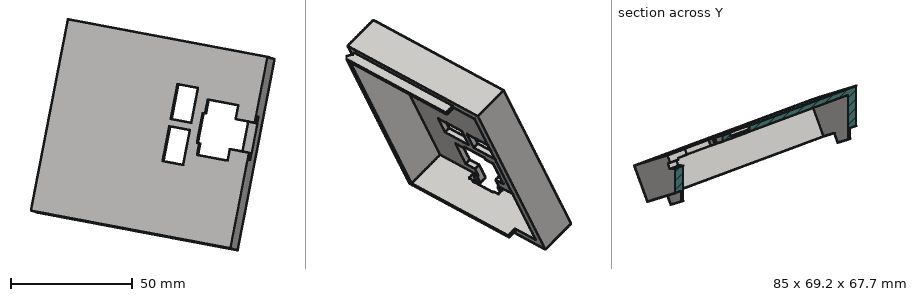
import cadquery as cq

TILTED = cq.Plane(origin=(0, 0, 0), xDir=(1, 0, 0), normal=(0, -1, 1))

WIDTH = 85.0
LENGTH = 80.0
DEPTH = 15.8
RIM_WALL = 4.0
FRONT_WALL = 2.55

LIP_INSET = 2.8
LIP_HEIGHT = 4.2
LIP_START = 16.75
LIP_BACK = DEPTH + LIP_HEIGHT

BEAD_GAP = 1.0
BEAD_PROJECTION = 1.8
BEAD_CREST = 0.3

PORT_LEFT = 50.15
PORT_WIDTH = 8.75
PORT_LENGTH = 14.5
PORT_BOTTOM = 30.0
PORT_PITCH = 17.6

WINDOW_LEFT = 63.8
WINDOW_WIDTH = 13.0
WINDOW_BOTTOM = 35.1
WINDOW_LENGTH = 23.1
SLOT_LEFT = 62.8
SLOT_BOTTOM = 39.95
SLOT_LENGTH = 12.5
SLOT_DEPTH = 6.0

UNDERCUT_REACH = 2.8
UNDERCUT_FRONT = 3.2
UNDERCUT_BACK = 5.6


def block(left, right, bottom, top, front, back):
    """Box in the cover frame; front and back are depths behind the front face."""
    size = (right - left, top - bottom, back - front)
    return cq.Workplane(TILTED).box(*size, centered=False).translate(
        TILTED.toWorldCoords((left, bottom, -back))
    )


def make_bead():
    section = cq.Workplane(TILTED).transformed(rotate=(0, 90, 0), offset=(LIP_INSET, 0, 0))
    base = LENGTH - LIP_INSET
    inner = LENGTH - RIM_WALL
    crest = base + BEAD_PROJECTION
    root = DEPTH + BEAD_GAP
    crest_front = root + BEAD_PROJECTION
    crest_back = crest_front + BEAD_CREST
    profile = [
        (root, base),
        (crest_front, crest),
        (crest_back, crest),
        (LIP_BACK, crest - (LIP_BACK - crest_back)),
        (LIP_BACK, inner),
        (root, inner),
    ]
    return section.polyline(profile).close().extrude(WIDTH - 2 * LIP_INSET)


def make_shell():
    body = block(0, WIDTH, 0, LENGTH, 0, DEPTH)
    lip = block(LIP_INSET, WIDTH - LIP_INSET, LIP_START, LENGTH - LIP_INSET, DEPTH, LIP_BACK)
    cavity = block(RIM_WALL, WIDTH - RIM_WALL, RIM_WALL, LENGTH - RIM_WALL, FRONT_WALL, LIP_BACK)
    return body.union(lip).union(make_bead()).cut(cavity)


def cut_openings(body):
    for row in range(2):
        bottom = PORT_BOTTOM + row * PORT_PITCH
        body = body.cut(
            block(PORT_LEFT, PORT_LEFT + PORT_WIDTH, bottom, bottom + PORT_LENGTH, 0, FRONT_WALL)
        )
    window = block(
        WINDOW_LEFT, WINDOW_LEFT + WINDOW_WIDTH, WINDOW_BOTTOM, WINDOW_BOTTOM + WINDOW_LENGTH, 0, FRONT_WALL
    )
    slot = block(SLOT_LEFT, WIDTH, SLOT_BOTTOM, SLOT_BOTTOM + SLOT_LENGTH, 0, SLOT_DEPTH)
    undercut = block(
        WIDTH - RIM_WALL,
        WIDTH,
        SLOT_BOTTOM - UNDERCUT_REACH,
        SLOT_BOTTOM + SLOT_LENGTH + UNDERCUT_REACH,
        UNDERCUT_FRONT,
        UNDERCUT_BACK,
    )
    return body.cut(window).cut(slot).cut(undercut)


result = cut_openings(make_shell())